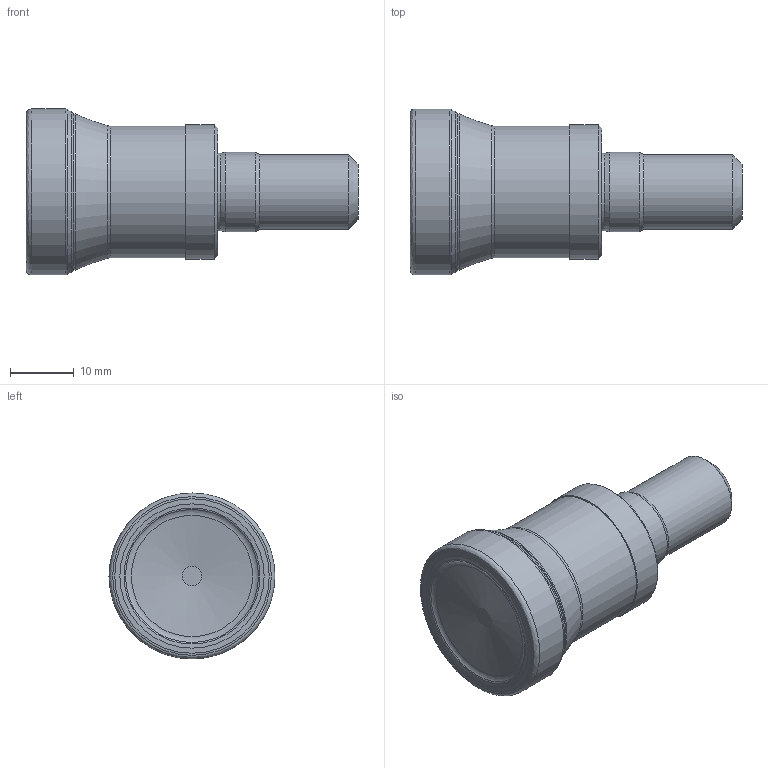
import cadquery as cq
import math

total_length = 52.0

ring_radius = 26.0 / 2
ring_end = 7.38
front_round_start = (0.04, 12.42)
front_round_end = 0.88
front_face_radius = 12.1
rear_blend_start = 6.2
rear_blend_radius = 0.64
rear_cone_angle = math.radians(32)
rear_cone_end = 7.06

lip_radius = 11.3
lip_bevel_radius = 10.65
lip_bevel_angle = math.radians(6.5)
mouth_angle = math.radians(40)
mouth_inflection_radius = 10.42
bore_radius = 9.5

dish_flat_radius = 1.55
dish_depth = 1.1

flange_radius = 24.6 / 2
flare_start = (7.69, 12.22)
flare_end = (12.7, 10.4)
flare_sag = 0.1
barrel_radius = 20.6 / 2
barrel_start = 13.17

collar_radius = 21.0 / 2
collar_start = 25.0
collar_end = 30.0
collar_chamfer = 0.5

relief_start_radius = 6.15
relief_floor = (30.4, 6.04)
shoulder_radius = 12.5 / 2
shoulder_start = 31.18
shoulder_end = 35.88
shank_radius = 11.75 / 2
shank_start = 36.51
shank_chamfer = 1.5


def turn(profile):
    """Close a half profile and turn it about the X axis."""
    return profile.close().revolve(360, (0, 0, 0), (1, 0, 0))


def blend_radius(radial_width, start_angle, end_angle):
    """Radius of the arc that turns between two slopes over a radial width."""
    return radial_width / abs(math.sin(end_angle) - math.sin(start_angle))


def blend_depth(radius, start_angle, end_angle):
    """Distance along X that an arc covers while it turns between two slopes."""
    return radius * abs(math.cos(end_angle) - math.cos(start_angle))


lip_arc_radius = blend_radius(lip_bevel_radius - mouth_inflection_radius, lip_bevel_angle, mouth_angle)
foot_arc_radius = blend_radius(mouth_inflection_radius - bore_radius, mouth_angle, 0)
lip_bevel_depth = (lip_radius - lip_bevel_radius) * math.tan(lip_bevel_angle)
mouth_inflection = lip_bevel_depth + blend_depth(lip_arc_radius, lip_bevel_angle, mouth_angle)
mouth_depth = mouth_inflection + blend_depth(foot_arc_radius, mouth_angle, 0)


def make_ring():
    rear_cone_start = rear_blend_start + rear_blend_radius * math.sin(rear_cone_angle)
    rear_cone_start_radius = ring_radius - rear_blend_radius * (1 - math.cos(rear_cone_angle))
    rear_cone_drop = (rear_cone_end - rear_cone_start) * math.tan(rear_cone_angle)
    front_round_length = front_round_end - front_round_start[0]
    front_round_height = ring_radius - front_round_start[1]
    profile = (
        cq.Workplane("XY")
        .moveTo(ring_end, bore_radius)
        .lineTo(mouth_depth, bore_radius)
        .radiusArc((mouth_inflection, mouth_inflection_radius), -foot_arc_radius)
        .radiusArc((lip_bevel_depth, lip_bevel_radius), lip_arc_radius)
        .lineTo(0, lip_radius)
        .lineTo(0, front_face_radius)
        .lineTo(*front_round_start)
        .ellipseArc(front_round_length, front_round_height, 90, 180, sense=-1)
        .lineTo(rear_blend_start, ring_radius)
        .radiusArc((rear_cone_start, rear_cone_start_radius), rear_blend_radius)
        .lineTo(rear_cone_end, rear_cone_start_radius - rear_cone_drop)
        .lineTo(ring_end, flange_radius)
    )
    return turn(profile)


def make_stem():
    dish_floor = mouth_depth + dish_depth
    flare_middle = (
        (flare_start[0] + flare_end[0]) / 2,
        (flare_start[1] + flare_end[1]) / 2 - flare_sag,
    )
    profile = (
        cq.Workplane("XY")
        .moveTo(dish_floor, 0)
        .lineTo(dish_floor, dish_flat_radius)
        .lineTo(mouth_depth, bore_radius)
        .lineTo(ring_end, bore_radius)
        .lineTo(ring_end, flange_radius)
        .lineTo(*flare_start)
        .threePointArc(flare_middle, flare_end)
        .lineTo(barrel_start, barrel_radius)
        .lineTo(collar_start, barrel_radius)
        .lineTo(collar_start, collar_radius)
        .lineTo(collar_end - collar_chamfer, collar_radius)
        .lineTo(collar_end, collar_radius - collar_chamfer)
        .lineTo(collar_end, relief_start_radius)
        .lineTo(*relief_floor)
        .lineTo(shoulder_start, shoulder_radius)
        .lineTo(shoulder_end, shoulder_radius)
        .lineTo(shank_start, shank_radius)
        .lineTo(total_length - shank_chamfer, shank_radius)
        .lineTo(total_length, shank_radius - shank_chamfer)
        .lineTo(total_length, 0)
    )
    return turn(profile)


ring = make_ring()
stem = make_stem()

result = cq.Compound.makeCompound([ring.val(), stem.val()])